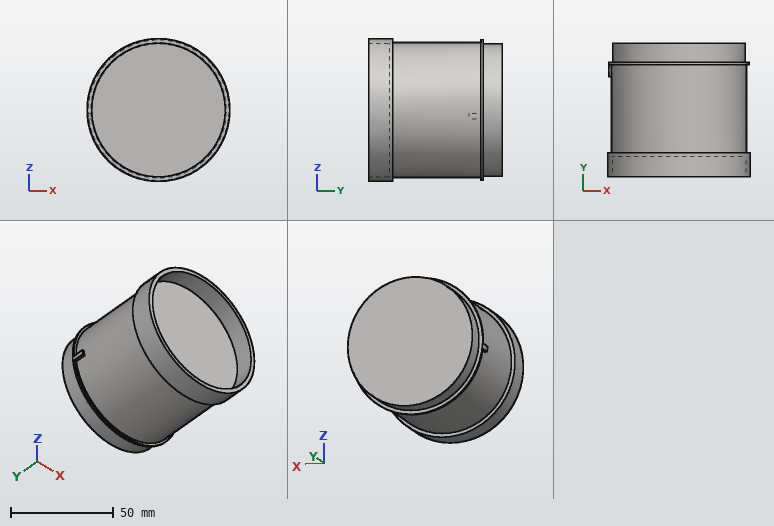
import cadquery as cq

total_length = 65.5
collar_length = 11.9
recess_depth = 10.0
flange_start = 55.0
flange_thickness = 1.1

collar_diameter = 70.0
recess_diameter = 65.45
body_diameter = 66.3
flange_diameter = 68.9
spigot_diameter = 65.1

key_length = 6.0
key_top = -1.7
key_height = 2.65
key_root_depth = 1.4


def disc(diameter, start, end):
    """Solid cylinder about the Y axis between two distances from the open end."""
    return (
        cq.Workplane("XZ", origin=(0, start, 0))
        .circle(diameter / 2)
        .extrude(-(end - start))
    )


def locating_key():
    """Bar whose curved outer face continues the flange rim, rooted in the body wall."""
    outer_x = -flange_diameter / 2
    inner_x = -body_diameter / 2 + key_root_depth
    bar = cq.Workplane("XY").box(inner_x - outer_x, key_length, key_height, centered=False)
    bar = bar.translate((outer_x, flange_start - key_length, key_top - key_height))
    return bar.intersect(disc(flange_diameter, flange_start - key_length, flange_start))


flange_end = flange_start + flange_thickness

collar = disc(collar_diameter, 0, collar_length)
body = disc(body_diameter, collar_length, flange_start)
flange = disc(flange_diameter, flange_start, flange_end)
spigot = disc(spigot_diameter, flange_end, total_length)
recess = disc(recess_diameter, 0, recess_depth)

result = collar.union(body).union(flange).union(spigot).union(locating_key()).cut(recess)